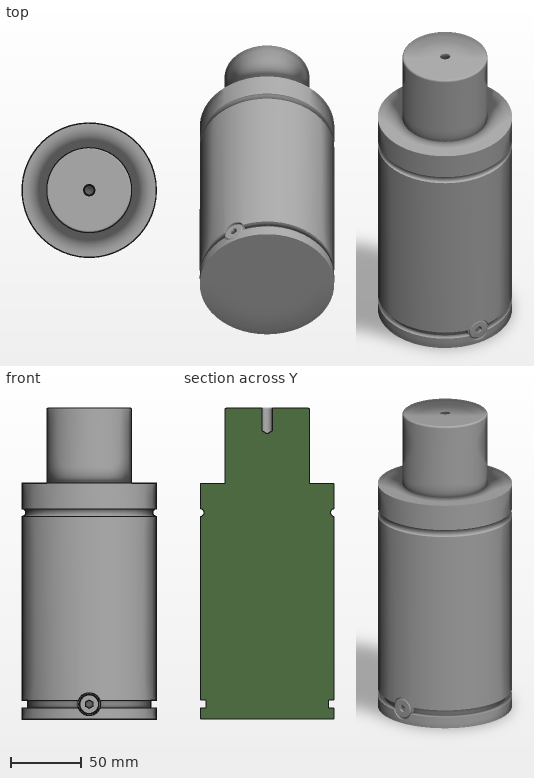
import cadquery as cq
import math

body_diameter = 95.0
body_radius = body_diameter / 2
body_top = 167.0

base_groove_bottom = 8.1
base_groove_width = 5.3
base_groove_depth = 4.0
base_groove_top = base_groove_bottom + base_groove_width

round_groove_center = 146.0
round_groove_radius = 2.6

total_height = 220
rod_diameter = 60.0
rod_edge_radius = 1.3

rod_hole_diameter = 6.8
rod_hole_mouth_diameter = 8.0
rod_hole_depth = 16.0
drill_point_angle = 118

plug_diameter = 16.0
plug_face_diameter = 14.0
plug_step_height = 1.5
plug_edge_chamfer = 0.5
plug_height = (base_groove_bottom + base_groove_top) / 2
plug_face_offset = 46.9
plug_length = 10.0
socket_across_flats = 5.0
socket_depth = 5.0


def make_body():
    """Body with its two ring grooves, as one revolved half section."""
    groove_floor_radius = body_radius - base_groove_depth
    profile = (
        cq.Workplane("XZ")
        .moveTo(0, 0)
        .lineTo(body_radius, 0)
        .lineTo(body_radius, base_groove_bottom)
        .lineTo(groove_floor_radius, base_groove_bottom)
        .lineTo(groove_floor_radius, base_groove_top)
        .lineTo(body_radius, base_groove_top)
        .lineTo(body_radius, round_groove_center - round_groove_radius)
        .threePointArc(
            (body_radius - round_groove_radius, round_groove_center),
            (body_radius, round_groove_center + round_groove_radius),
        )
        .lineTo(body_radius, body_top)
        .lineTo(0, body_top)
        .close()
    )
    return profile.revolve(360, (0, 0, 0), (0, 1, 0))


def make_rod():
    """Piston rod with a rounded free end."""
    rod = cq.Workplane("XY").workplane(offset=body_top).circle(rod_diameter / 2)
    return rod.extrude(total_height - body_top).faces(">Z").edges().fillet(rod_edge_radius)


def make_rod_hole():
    """Cutter for the blind hole: conical mouth, straight bore and drill point."""
    hole_radius = rod_hole_diameter / 2
    mouth_radius = rod_hole_mouth_diameter / 2
    mouth_depth = mouth_radius - hole_radius
    bore_end = total_height - rod_hole_depth
    point_length = hole_radius / math.tan(math.radians(drill_point_angle / 2))
    profile = (
        cq.Workplane("XZ")
        .moveTo(0, total_height)
        .lineTo(mouth_radius, total_height)
        .lineTo(hole_radius, total_height - mouth_depth)
        .lineTo(hole_radius, bore_end)
        .lineTo(0, bore_end - point_length)
        .close()
    )
    return profile.revolve(360, (0, 0, 0), (0, 1, 0))


def plug_plane(offset):
    """Sketch plane facing -Y, centred on the plug axis at Y = -offset."""
    return cq.Workplane("XZ", origin=(0, -offset, plug_height))


def make_plug():
    """Plug with a stepped, chamfered face and a hexagon socket."""
    shoulder_length = plug_length - plug_step_height
    plug = plug_plane(plug_face_offset - plug_length).circle(plug_diameter / 2).extrude(shoulder_length)
    plug = plug.faces("<Y").workplane().circle(plug_face_diameter / 2).extrude(plug_step_height)
    plug = plug.faces("<Y").chamfer(plug_edge_chamfer)
    socket_corner_diameter = socket_across_flats / math.cos(math.pi / 6)
    socket = (
        plug_plane(plug_face_offset - socket_depth)
        .transformed(rotate=(0, 0, 90))
        .polygon(6, socket_corner_diameter)
        .extrude(socket_depth)
    )
    return plug.cut(socket)


plug_seat = plug_plane(plug_face_offset - plug_length).circle(plug_diameter / 2).extrude(body_radius)

result = make_body().cut(plug_seat).union(make_plug())
result = result.union(make_rod()).cut(make_rod_hole())